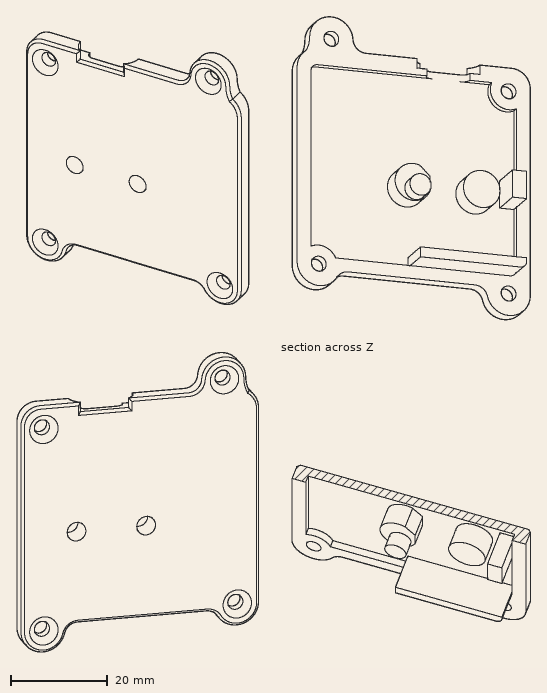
import cadquery as cq
import math


width = 51.0
height = 60.67
thickness = 3.76
floor_thickness = 2.16
bottom_edge_z = 5.86
top_edge_z = 53.55
edge_chamfer = 0.6

lobe_radius = 4.75
lobe_fillet_radius = 2.8
top_left_corner_radius = 4.1
side_blend_end_x = 48.95

lower_left_screw = (lobe_radius, lobe_radius)
lower_right_screw = (width - lobe_radius, 7.0)
upper_left_screw = (lobe_radius, 48.5)
upper_right_screw = (43.5, height - lobe_radius)
screws = (lower_left_screw, lower_right_screw, upper_left_screw, upper_right_screw)
top_right_corner = (width - lobe_radius, 49.05)

screw_hole_diameter = 3.2
countersink_diameter = 6.1

opening_x = 17.9
opening_floor_z = 51.5
recess_width = 13.7
plug_width = 9.4

cavity_left_x = 3.05
cavity_bottom_z = 8.6
cavity_top_z = 50.0
cavity_corner_radius = 1.4
screw_post_radius = 4.0

boss_diameter = 8.0
boss_top_y = 7.0
boss_hole_diameter = 4.0
boss_hole_depth = 6.0
boss_z = 25.7
left_boss_x = 11.75
right_boss_x = 26.7
boss_flat_distance = 3.68
boss_flat_angles = (135, 180)

post_top_y = 10.26
pin_diameter = 4.65
pin_center = (26.25, 24.25)
block_width = 3.1
block_bottom_z = 23.55
block_top_z = 29.45
wall_top_z = 10.75


def profile(y):
    """Sketch plane parallel to XZ at depth y, with local axes X and Z."""
    return cq.Workplane("XZ", origin=(0, y, 0))


def box(x_range, y_range, z_range):
    size = [high - low for low, high in (x_range, y_range, z_range)]
    corner = (x_range[0], y_range[0], z_range[0])
    return cq.Workplane("XY").box(*size, centered=False).translate(corner)


def cylinder(center, diameter, y_start, y_end):
    return profile(y_start).center(*center).circle(diameter / 2).extrude(y_start - y_end)


def lobe_fillet(lobe, edge_z, outside, side):
    """Fillet tangent to a lobe and a level edge: returns its (lobe, middle, edge) points.

    outside is +1 or -1 for open space above or below the edge; side is the X direction
    from the lobe to the fillet.
    """
    radius = lobe_fillet_radius
    center_z = edge_z + outside * radius
    rise = center_z - lobe[1]
    reach = lobe_radius + radius
    run = side * math.sqrt(reach**2 - rise**2)
    center_x = lobe[0] + run
    share = lobe_radius / reach
    lobe_angle = math.atan2(-rise, -run)
    edge_angle = -outside * math.pi / 2
    turn = (edge_angle - lobe_angle + math.pi) % (2 * math.pi) - math.pi
    middle_angle = lobe_angle + turn / 2
    on_lobe = (lobe[0] + share * run, lobe[1] + share * rise)
    middle = (center_x + radius * math.cos(middle_angle), center_z + radius * math.sin(middle_angle))
    return on_lobe, middle, (center_x, edge_z)


def lobe_point(lobe, angle):
    radians = math.radians(angle)
    return (lobe[0] + lobe_radius * math.cos(radians), lobe[1] + lobe_radius * math.sin(radians))


def recess_half_width_at(y):
    """Half width of the connector recess, a slot centred on the back face and tangent to Y = 0."""
    straight_half = recess_width / 2 - thickness
    return straight_half + math.sqrt(thickness**2 - (thickness - y) ** 2)


def plate():
    ll_lobe, ll_mid, ll_edge = lobe_fillet(lower_left_screw, bottom_edge_z, -1, 1)
    lr_lobe, lr_mid, lr_edge = lobe_fillet(lower_right_screw, bottom_edge_z, -1, -1)
    ur_lobe, ur_mid, ur_edge = lobe_fillet(upper_right_screw, top_edge_z, 1, -1)

    corner_angle = math.degrees(math.acos((side_blend_end_x - top_right_corner[0]) / lobe_radius))
    notch_half_width = recess_half_width_at(edge_chamfer)
    notch_left_x = opening_x - notch_half_width
    notch_right_x = opening_x + notch_half_width
    corner_inset = top_left_corner_radius * (1 - math.sqrt(0.5))

    outline = (
        profile(0)
        .moveTo(0, top_edge_z - top_left_corner_radius)
        .threePointArc((corner_inset, top_edge_z - corner_inset), (top_left_corner_radius, top_edge_z))
        .lineTo(notch_left_x, top_edge_z)
        .lineTo(notch_left_x, opening_floor_z)
        .lineTo(notch_right_x, opening_floor_z)
        .lineTo(notch_right_x, top_edge_z)
        .lineTo(*ur_edge)
        .threePointArc(ur_mid, ur_lobe)
        .threePointArc(lobe_point(upper_right_screw, 90), lobe_point(upper_right_screw, 0))
        .tangentArcPoint(lobe_point(top_right_corner, corner_angle), relative=False)
        .threePointArc(lobe_point(top_right_corner, corner_angle / 2), lobe_point(top_right_corner, 0))
        .lineTo(*lobe_point(lower_right_screw, 0))
        .threePointArc(lobe_point(lower_right_screw, -90), lr_lobe)
        .threePointArc(lr_mid, lr_edge)
        .lineTo(*ll_edge)
        .threePointArc(ll_mid, ll_lobe)
        .threePointArc(lobe_point(lower_left_screw, -90), lobe_point(lower_left_screw, 180))
        .close()
    )
    return outline.extrude(-thickness).faces("<Y").chamfer(edge_chamfer)


def cavity():
    x_range = (cavity_left_x, width - cavity_left_x)
    pocket = box(x_range, (floor_thickness, thickness), (cavity_bottom_z, cavity_top_z))
    pocket = pocket.edges("|Y").fillet(cavity_corner_radius)
    for screw in screws:
        pocket = pocket.cut(cylinder(screw, 2 * screw_post_radius, 0, thickness))
    return pocket


def slot_cut(slot_width, slot_radius, z_range):
    """Vertical slot with round ends, centred on the back face of the plate."""
    return (
        cq.Workplane("XY", origin=(opening_x, thickness, z_range[0]))
        .slot2D(slot_width, 2 * slot_radius)
        .extrude(z_range[1] - z_range[0])
    )


def connector_opening():
    recess = slot_cut(recess_width, thickness, (opening_floor_z, top_edge_z))
    plug = slot_cut(plug_width, thickness - floor_thickness, (cavity_top_z, top_edge_z))
    return recess.union(plug)


def screw_hole(center):
    cone_depth = (countersink_diameter - screw_hole_diameter) / 2
    cone = (
        profile(0)
        .center(*center)
        .circle(countersink_diameter / 2)
        .workplane(offset=-cone_depth)
        .circle(screw_hole_diameter / 2)
        .loft(ruled=True)
    )
    return cone.union(cylinder(center, screw_hole_diameter, 0, thickness))


def flatted_boss(center):
    """Boss with a flat facing each of the given directions in the XZ plane."""
    boss = cylinder(center, boss_diameter, floor_thickness, boss_top_y)
    for angle in boss_flat_angles:
        x_range = (center[0] + boss_flat_distance, center[0] + boss_diameter)
        z_range = (center[1] - boss_diameter, center[1] + boss_diameter)
        trim = box(x_range, (floor_thickness, boss_top_y), z_range)
        axis_start = (center[0], 0, center[1])
        axis_end = (center[0], -1, center[1])
        boss = boss.cut(trim.rotate(axis_start, axis_end, angle))
    return boss


def block():
    x_range = (cavity_left_x, cavity_left_x + block_width)
    return box(x_range, (floor_thickness, post_top_y), (block_bottom_z, block_top_z))


def wall():
    x_range = (cavity_left_x, pin_center[0])
    body = box(x_range, (floor_thickness, post_top_y), (cavity_bottom_z, wall_top_z))
    return body.edges("|Y and <X and <Z").fillet(cavity_corner_radius)


left_boss_center = (left_boss_x, boss_z)
right_boss_center = (right_boss_x, boss_z)

raised = cylinder(left_boss_center, boss_diameter, floor_thickness, boss_top_y)
raised = raised.union(flatted_boss(right_boss_center))
raised = raised.union(cylinder(pin_center, pin_diameter, floor_thickness, post_top_y))
raised = raised.union(block()).union(wall())

result = plate().cut(cavity()).cut(connector_opening()).union(raised)

for screw in screws:
    result = result.cut(screw_hole(screw))
for center in (left_boss_center, right_boss_center):
    result = result.cut(cylinder(center, boss_hole_diameter, 0, boss_hole_depth))